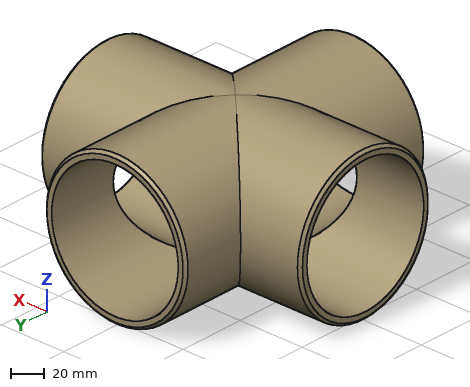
import cadquery as cq

overall_length = 210.0
outer_diameter = 114.0
bore_diameter = 102.0
end_chamfer = 2.0


def pipe_along(plane, diameter):
    """Solid cylinder centred on the origin, normal to the given plane."""
    return cq.Workplane(plane).circle(diameter / 2).extrude(overall_length / 2, both=True)


def chamfered_pipe(plane, end_faces):
    """Outer pipe body with both end rims chamfered."""
    return pipe_along(plane, outer_diameter).faces(end_faces).edges().chamfer(end_chamfer)


cross = chamfered_pipe("YZ", "<X or >X").union(chamfered_pipe("XZ", "<Y or >Y"))

for plane in ("YZ", "XZ"):
    cross = cross.cut(pipe_along(plane, bore_diameter))

result = cross